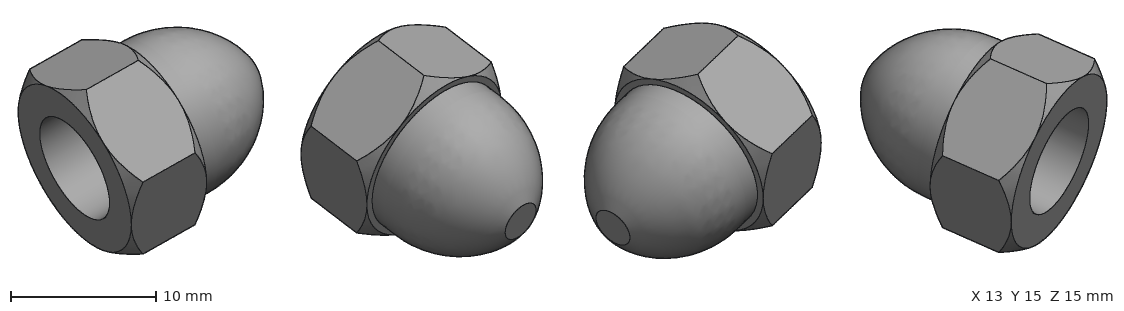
import cadquery as cq
import math

across_flats = 13.0
total_length = 15.0
hex_length = 6.5
collar_diameter = 12.0
collar_end = 7.8
dome_radius = 8.0
bore_diameter = 8.0
bore_depth = 11.0
chamfer_angle = 45.0

across_corners = across_flats / math.cos(math.radians(30))
collar_radius = collar_diameter / 2


def revolve_about_y(profile):
    return profile.close().revolve(360, (0, 0, 0), (0, 1, 0))


def hex_body():
    """Hexagon with corners on +/-Z, its corners turned off conically at both ends."""
    prism = (
        cq.Workplane("XZ")
        .transformed(rotate=(0, 0, 90))
        .polygon(6, across_corners)
        .extrude(-hex_length)
    )
    face_radius = across_flats / 2
    corner_radius = across_corners / 2
    chamfer_length = (corner_radius - face_radius) * math.tan(math.radians(chamfer_angle))
    envelope = revolve_about_y(
        cq.Workplane("XY")
        .lineTo(face_radius, 0)
        .lineTo(corner_radius, chamfer_length)
        .lineTo(corner_radius, hex_length - chamfer_length)
        .lineTo(face_radius, hex_length)
        .lineTo(0, hex_length)
    )
    return prism.intersect(envelope)


def dome_profile_radius(y):
    """Distance from the axis to the dome surface at height y."""
    arc_center_x = collar_radius - dome_radius
    return arc_center_x + math.sqrt(dome_radius**2 - (y - collar_end) ** 2)


def collar_and_dome():
    """Short round collar running into an ogive dome with a flat tip."""
    arc_mid_y = (collar_end + total_length) / 2
    return revolve_about_y(
        cq.Workplane("XY")
        .moveTo(0, hex_length)
        .lineTo(collar_radius, hex_length)
        .lineTo(collar_radius, collar_end)
        .threePointArc(
            (dome_profile_radius(arc_mid_y), arc_mid_y),
            (dome_profile_radius(total_length), total_length),
        )
        .lineTo(0, total_length)
    )


def blind_bore():
    return cq.Workplane("XZ").circle(bore_diameter / 2).extrude(-bore_depth)


result = hex_body().union(collar_and_dome()).cut(blind_bore())